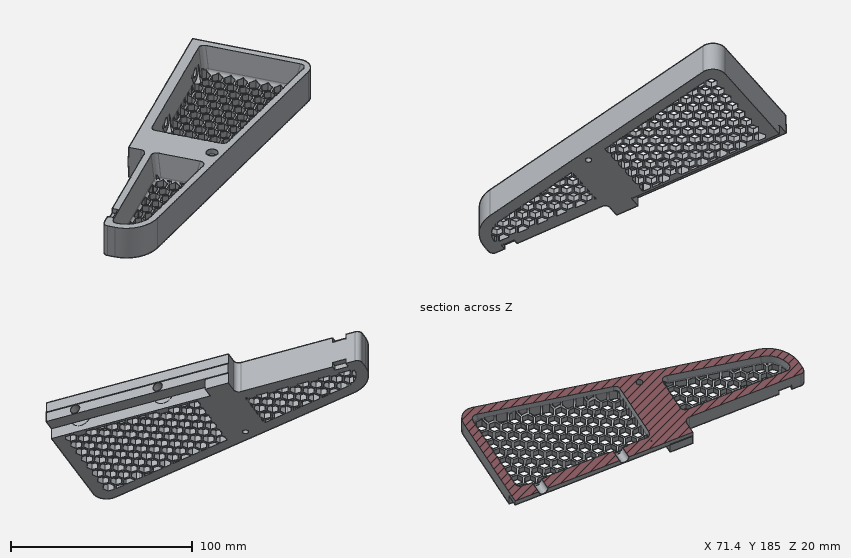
import cadquery as cq
import math

HEIGHT = 20.0
LENGTH = 185.0
LEAN = math.radians(12.0)
TOP_CORNER_X = 72.75
TOP_CORNER_RADIUS = 8.0
SHOULDER_Y = 75.0
ARM_X = 10.1
ARM_CORNER_RADIUS = 3.0
TIP_RADIUS = 20.0

RAIL_WIDTH = 6.5
RAIL_PROUD = 0.5
RAIL_BOTTOM = (HEIGHT - RAIL_WIDTH) / 2

REBATE_START_Y = 89.0
REBATE_DEPTH = 6.75

WALL = 4.0
BODY_WALL_LEFT = 6.0
BODY_POCKET_FRONT_Y = 95.0
POCKET_DRAFT = 10.0
POCKET_CORNER_RADIUS = 3.0
FLOOR_THICKNESS = 4.0
BODY_FLOOR_FILLET = POCKET_CORNER_RADIUS
ARM_FLOOR_FILLET = 2.0
POCKET_DEPTH = HEIGHT - FLOOR_THICKNESS
DRAFT_SLOPE = math.tan(math.radians(POCKET_DRAFT))

HEX_FLATS = 6.0
HEX_WEB = 1.2
HEX_PITCH = HEX_FLATS + HEX_WEB
HEX_ACROSS_CORNERS = HEX_FLATS * 2 / math.sqrt(3)
HEX_ROW_PITCH = HEX_PITCH * math.sqrt(3) / 2
HEX_ORIGIN = (17.5, 174.7)
HEX_HEIGHT = FLOOR_THICKNESS + BODY_FLOOR_FILLET
BODY_GRILLE_INSET = (HEIGHT - HEX_HEIGHT) * DRAFT_SLOPE
ARM_GRILLE_INSET = POCKET_DEPTH * DRAFT_SLOPE
HEX_COLUMNS = range(-2, 8)
HEX_ROWS = range(0, 29)

SIDE_HOLE_DIAMETER = 5.5
SIDE_HEAD_DIAMETER = 11.8
SIDE_HEAD_X = 7.4
SIDE_HEAD_REACH = 8.0
SIDE_HOLE_YS = (117.5, 167.5)

BRIDGE_HOLE = (45.1, 85.0)
BRIDGE_HOLE_DIAMETER = 3.4
BRIDGE_HEAD_DIAMETER = 6.5
BRIDGE_HEAD_DEPTH = 3.3

NOTCH_WIDTH = 8.0
NOTCH_CENTER_Y = 12.6
NOTCH_DEPTH = 3.3
NOTCH_HEIGHT = 3.0


def right_edge_x(y, inset=0.0):
    """X of the leaning right edge at a given y, moved inward by inset."""
    return TOP_CORNER_X - (LENGTH - y) * math.tan(LEAN) - inset / math.cos(LEAN)


TIP_CENTER = (right_edge_x(TIP_RADIUS, TIP_RADIUS), TIP_RADIUS)


def tip_point(angle, radius):
    """Point on a circle about the tip centre."""
    return (TIP_CENTER[0] + radius * math.cos(angle), TIP_CENTER[1] + radius * math.sin(angle))


def rounded_tip(outline, inset):
    """Continue an outline from the foot of the right edge around the tip."""
    radius = TIP_RADIUS - inset
    middle = (-LEAN - math.pi / 2) / 2
    return outline.lineTo(*tip_point(-LEAN, radius)).threePointArc(
        tip_point(middle, radius), tip_point(-math.pi / 2, radius)
    )


def edge_at(body, x, y):
    """Select the vertical edge nearest to the point (x, y)."""
    return body.edges("|Z").edges(cq.selectors.NearestToPointSelector((x, y, HEIGHT / 2)))


def make_body():
    outline = (
        cq.Workplane("XY")
        .moveTo(0, SHOULDER_Y)
        .lineTo(0, LENGTH)
        .lineTo(TOP_CORNER_X, LENGTH)
    )
    outline = rounded_tip(outline, 0).lineTo(ARM_X, 0).lineTo(ARM_X, SHOULDER_Y).close()
    body = outline.extrude(HEIGHT)
    body = edge_at(body, TOP_CORNER_X, LENGTH).fillet(TOP_CORNER_RADIUS)
    for y in (0, SHOULDER_Y):
        body = edge_at(body, ARM_X, y).fillet(ARM_CORNER_RADIUS)
    return body


def make_rail():
    return cq.Workplane("XY").box(
        RAIL_PROUD, LENGTH - SHOULDER_Y, RAIL_WIDTH, centered=False
    ).translate((-RAIL_PROUD, SHOULDER_Y, RAIL_BOTTOM))


def make_rebate():
    return cq.Workplane("XY").box(
        REBATE_DEPTH, LENGTH - REBATE_START_Y, RAIL_BOTTOM, centered=False
    ).translate((0, REBATE_START_Y, 0))


def body_pocket_corners(inset):
    left = BODY_WALL_LEFT + inset
    back = LENGTH - WALL - inset
    front = BODY_POCKET_FRONT_Y + inset
    return [
        (left, front),
        (left, back),
        (right_edge_x(back, WALL + inset), back),
        (right_edge_x(front, WALL + inset), front),
    ]


def body_pocket_outline(plane, inset):
    return plane.polyline(body_pocket_corners(inset)).close()


def arm_pocket_corners(inset):
    left = ARM_X + WALL + inset
    back = SHOULDER_Y - inset
    return [(left, WALL + inset), (left, back), (right_edge_x(back, WALL + inset), back)]


def arm_pocket_outline(plane, inset):
    return rounded_tip(plane.polyline(arm_pocket_corners(inset)), WALL + inset).close()


def beside_side_hole(x, y):
    """True for a cell centred under the left wall, level with a side screw hole."""
    in_wall = x < BODY_WALL_LEFT + BODY_GRILLE_INSET
    return in_wall and any(abs(y - hole_y) < HEX_ROW_PITCH / 2 for hole_y in SIDE_HOLE_YS)


def make_honeycomb():
    """Grid of hexagonal prisms with a vertex toward +Y, alternate rows staggered."""
    cells = []
    for row in HEX_ROWS:
        stagger = HEX_PITCH / 2 * (row % 2)
        y = HEX_ORIGIN[1] - row * HEX_ROW_PITCH
        for column in HEX_COLUMNS:
            x = HEX_ORIGIN[0] + column * HEX_PITCH + stagger
            if not beside_side_hole(x, y):
                cells.append((y, -x))
    plane = cq.Workplane("XY").transformed(rotate=(0, 0, 90))
    return plane.pushPoints(cells).polygon(6, HEX_ACROSS_CORNERS).extrude(HEX_HEIGHT)


def make_pocket(draw_outline, find_corners, floor_fillet):
    """Drafted pocket, narrowing downward, with rounded corners and floor edge."""
    top = cq.Workplane("XY").workplane(offset=HEIGHT)
    pocket = draw_outline(top, 0).extrude(-POCKET_DEPTH, taper=POCKET_DRAFT)
    middle_depth = POCKET_DEPTH / 2
    middle_z = HEIGHT - middle_depth
    for x, y in find_corners(middle_depth * DRAFT_SLOPE):
        nearest = cq.selectors.NearestToPointSelector((x, y, middle_z))
        pocket = pocket.edges(nearest).fillet(POCKET_CORNER_RADIUS)
    return pocket.faces("<Z").edges().fillet(floor_fillet)


def make_grille():
    """Honeycomb openings trimmed to the two pocket floors."""
    body_trim = body_pocket_outline(cq.Workplane("XY"), BODY_GRILLE_INSET).extrude(HEX_HEIGHT)
    arm_trim = arm_pocket_outline(cq.Workplane("XY"), ARM_GRILLE_INSET).extrude(HEX_HEIGHT)
    return make_honeycomb().intersect(body_trim.union(arm_trim))


def make_side_hole(y):
    plane = cq.Workplane("YZ", origin=(-RAIL_PROUD, y, HEIGHT / 2))
    shank = plane.circle(SIDE_HOLE_DIAMETER / 2).extrude(RAIL_PROUD + SIDE_HEAD_X)
    head_plane = cq.Workplane("YZ", origin=(SIDE_HEAD_X, y, HEIGHT / 2))
    head = head_plane.circle(SIDE_HEAD_DIAMETER / 2).extrude(SIDE_HEAD_REACH)
    return shank.union(head)


def make_bridge_hole():
    shank = cq.Workplane("XY").center(*BRIDGE_HOLE).circle(BRIDGE_HOLE_DIAMETER / 2).extrude(HEIGHT)
    head_plane = cq.Workplane("XY").workplane(offset=HEIGHT - BRIDGE_HEAD_DEPTH)
    head = head_plane.center(*BRIDGE_HOLE).circle(BRIDGE_HEAD_DIAMETER / 2).extrude(BRIDGE_HEAD_DEPTH)
    return shank.union(head)


def make_notch(bottom_z):
    return cq.Workplane("XY").box(
        NOTCH_DEPTH, NOTCH_WIDTH, NOTCH_HEIGHT, centered=(False, True, False)
    ).translate((ARM_X, NOTCH_CENTER_Y, bottom_z))


result = make_body().union(make_rail()).cut(make_rebate())
result = result.cut(make_pocket(body_pocket_outline, body_pocket_corners, BODY_FLOOR_FILLET))
result = result.cut(make_pocket(arm_pocket_outline, arm_pocket_corners, ARM_FLOOR_FILLET))
for hole_y in SIDE_HOLE_YS:
    result = result.cut(make_side_hole(hole_y))
result = result.cut(make_bridge_hole())
for notch_z in (0, HEIGHT - NOTCH_HEIGHT):
    result = result.cut(make_notch(notch_z))
result = result.cut(make_grille())